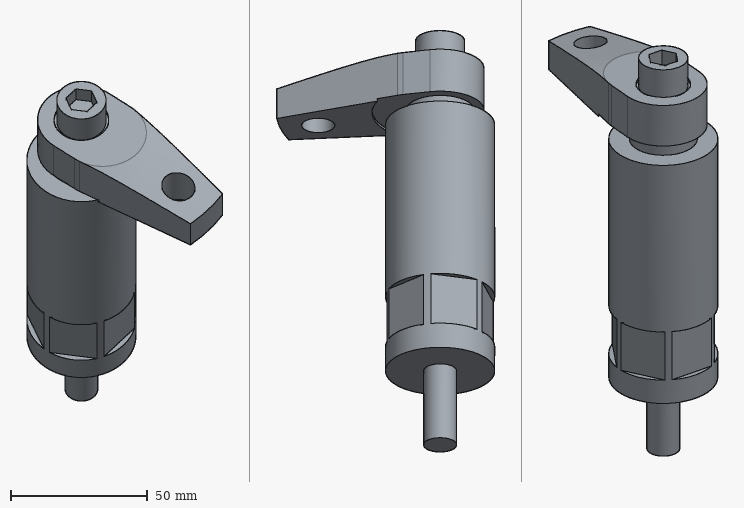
import cadquery as cq
import math

flange_bottom = 30.0
flats_bottom = 39.9
flats_top = 60.0
barrel_top = 130.0
arm_bottom = 135.0
hub_bottom = 136.0
lever_top = 153.0
head_bottom = 152.0
screw_top = 164.0

barrel_radius = 20.0
neck_radius = 12.5
flats_width = 35.9
flat_count = 6

shank_radius = 6.0
head_radius = 9.0
socket_width = 10.0
socket_depth = 6.0

hub_radius = 16.0
hub_stretch = 10.0
taper_angle = 8.0
slope_angle = 10.0
tip_radius = 60.0
counterbore_radius = 10.0
handle_hole_x = 46.0
handle_hole_radius = 6.0
relief_radius = 25.0


def cylinder(radius, bottom, top, x=0):
    """Upright cylinder between two heights."""
    return cq.Workplane("XY", origin=(x, 0, bottom)).circle(radius).extrude(top - bottom)


def hexagon_prism(width, bottom, top):
    """Upright hexagonal prism with two of its flats facing along X."""
    corner_diameter = width / math.cos(math.pi / 6)
    return (
        cq.Workplane("XY", origin=(0, 0, bottom))
        .transformed(rotate=(0, 0, 30))
        .polygon(6, corner_diameter)
        .extrude(top - bottom)
    )


def make_housing():
    """Barrel with a neck, a band of wrench flats and a through bore."""
    housing = cylinder(barrel_radius, flange_bottom, barrel_top)
    housing = housing.union(cylinder(neck_radius, barrel_top, hub_bottom))
    for index in range(flat_count):
        flat_cutter = (
            cq.Workplane("XY")
            .box(barrel_radius, 2 * barrel_radius, flats_top - flats_bottom, centered=(False, True, False))
            .translate((flats_width / 2, 0, flats_bottom))
            .rotate((0, 0, 0), (0, 0, 1), index * 360 / flat_count)
        )
        housing = housing.cut(flat_cutter)
    return housing.cut(cylinder(shank_radius, flange_bottom, hub_bottom))


def lever_blank():
    """Full-height lever outline: rounded hub, tapered arm and rounded tip."""
    taper = math.radians(taper_angle)
    tangent_x = hub_stretch + hub_radius * math.sin(taper)
    tangent_y = hub_radius * math.cos(taper)
    mid_x = hub_stretch + hub_radius * math.sin(taper / 2)
    mid_y = hub_radius * math.cos(taper / 2)
    line_offset = hub_radius + hub_stretch * math.sin(taper)
    corner_angle = math.asin(line_offset / tip_radius) - taper
    corner_x = tip_radius * math.cos(corner_angle)
    corner_y = tip_radius * math.sin(corner_angle)
    return (
        cq.Workplane("XY", origin=(0, 0, arm_bottom))
        .moveTo(0, -hub_radius)
        .lineTo(hub_stretch, -hub_radius)
        .threePointArc((mid_x, -mid_y), (tangent_x, -tangent_y))
        .lineTo(corner_x, -corner_y)
        .threePointArc((tip_radius, 0), (corner_x, corner_y))
        .lineTo(tangent_x, tangent_y)
        .threePointArc((mid_x, mid_y), (hub_stretch, hub_radius))
        .lineTo(0, hub_radius)
        .threePointArc((-hub_radius, 0), (0, -hub_radius))
        .close()
        .extrude(lever_top - arm_bottom)
    )


def arm_slope_cutter():
    """Material above the cone that falls away from the outer hub end."""
    drop = (tip_radius - hub_radius) * math.tan(math.radians(slope_angle))
    ring = (
        cq.Workplane("XZ")
        .polyline([(hub_radius, lever_top), (tip_radius, lever_top), (tip_radius, lever_top - drop)])
        .close()
        .revolve(360, (0, 0, 0), (0, 1, 0))
        .translate((hub_stretch, 0, 0))
    )
    arm_side = (
        cq.Workplane("XY")
        .box(2 * tip_radius, 2 * tip_radius, lever_top, centered=(False, True, False))
        .translate((hub_stretch, 0, 0))
    )
    return ring.intersect(arm_side)


def make_lever():
    """Lever with a sloping arm, a handle hole and a counterbored screw hole."""
    lever = lever_blank().cut(arm_slope_cutter())
    lever = lever.cut(cylinder(relief_radius, arm_bottom, hub_bottom))
    lever = lever.cut(cylinder(handle_hole_radius, arm_bottom, lever_top, handle_hole_x))
    lever = lever.cut(cylinder(shank_radius, hub_bottom, lever_top))
    return lever.cut(cylinder(counterbore_radius, head_bottom, lever_top))


def make_screw():
    """Socket head screw running through the lever and the housing."""
    screw = cylinder(shank_radius, 0, head_bottom)
    screw = screw.union(cylinder(head_radius, head_bottom, screw_top))
    return screw.cut(hexagon_prism(socket_width, screw_top - socket_depth, screw_top))


housing = make_housing()
lever = make_lever()
screw = make_screw()

result = cq.Compound.makeCompound([housing.val(), lever.val(), screw.val()])